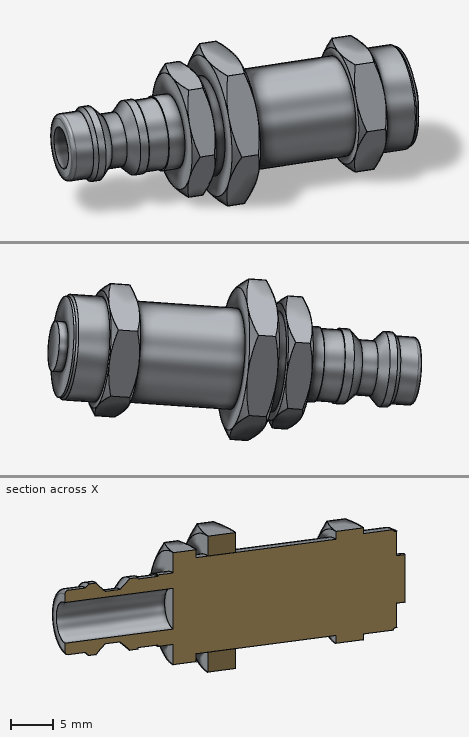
import cadquery as cq
import math

LENGTH = 44.0

TIP_RADIUS = 4.05
TIP_ROUND = 0.5
COLLAR_RADIUS = 4.5
NECK_RADIUS = 3.3
GROOVE_RADIUS = 4.3
TIP_END = 2.65
COLLAR_FRONT = 3.12
COLLAR_BACK = 4.05
NECK_FRONT = 5.25
NECK_BACK = 7.15
SHOULDER_FRONT = 8.4
GROOVE_FRONT = 9.5
GROOVE_BACK = 12.0

BORE_RADIUS = 2.5

HEX_ACROSS_FLATS = 14.0
FRONT_HEX_START = 14.0
FRONT_HEX_LENGTH = 3.05
REAR_HEX_START = 35.02
REAR_HEX_LENGTH = 3.6
HEX_CHAMFER_ANGLE = 30.0
HEX_SIDES = 6

BARREL_RADIUS = 6.05
CAP_RADIUS = 6.3
CAP_END_RADIUS = BARREL_RADIUS
CAP_CHAMFER_LENGTH = 0.25
CAP_LIP_LENGTH = 0.25
TAIL_RADIUS = 3.0
TAIL_LENGTH = 1.05

NUT_ACROSS_FLATS = 17.0
NUT_START = 18.5
NUT_LENGTH = 3.6


def revolve_about_y(profile):
    """Revolve a closed XY profile about the Y axis."""
    return profile.revolve(360, (0, 0, 0), (0, 1, 0))


def cylinder(radius, start, end):
    """Cylinder on the Y axis between two stations."""
    return cq.Workplane("XZ", origin=(0, start, 0)).circle(radius).extrude(start - end)


def chamfered_hexagon(across_flats, start, length):
    """Hexagon with corners on the X axis and both ends turned to a cone that meets the flats."""
    flat_radius = across_flats / 2
    corner_radius = flat_radius / math.cos(math.pi / HEX_SIDES)
    chamfer = (corner_radius - flat_radius) * math.tan(math.radians(HEX_CHAMFER_ANGLE))
    end = start + length
    prism = (
        cq.Workplane("XZ", origin=(0, start, 0))
        .polygon(HEX_SIDES, 2 * corner_radius)
        .extrude(-length)
    )
    envelope = revolve_about_y(
        cq.Workplane("XY")
        .moveTo(0, start)
        .lineTo(flat_radius, start)
        .lineTo(corner_radius, start + chamfer)
        .lineTo(corner_radius, end - chamfer)
        .lineTo(flat_radius, end)
        .lineTo(0, end)
        .close()
    )
    return prism.intersect(envelope)


def turned_core():
    """Plug, barrel, rear cap and tail tube as one revolved outline."""
    cap_end = LENGTH - TAIL_LENGTH
    lip_start = cap_end - CAP_LIP_LENGTH
    arc_step = TIP_ROUND * math.sin(math.radians(45))
    return revolve_about_y(
        cq.Workplane("XY")
        .moveTo(0, 0)
        .lineTo(TIP_RADIUS - TIP_ROUND, 0)
        .threePointArc(
            (TIP_RADIUS - TIP_ROUND + arc_step, TIP_ROUND - arc_step),
            (TIP_RADIUS, TIP_ROUND),
        )
        .lineTo(TIP_RADIUS, TIP_END)
        .lineTo(COLLAR_RADIUS, COLLAR_FRONT)
        .lineTo(COLLAR_RADIUS, COLLAR_BACK)
        .lineTo(NECK_RADIUS, NECK_FRONT)
        .lineTo(NECK_RADIUS, NECK_BACK)
        .lineTo(COLLAR_RADIUS, SHOULDER_FRONT)
        .lineTo(COLLAR_RADIUS, GROOVE_FRONT)
        .lineTo(GROOVE_RADIUS, GROOVE_FRONT)
        .lineTo(GROOVE_RADIUS, GROOVE_BACK)
        .lineTo(COLLAR_RADIUS, GROOVE_BACK)
        .lineTo(COLLAR_RADIUS, FRONT_HEX_START)
        .lineTo(BARREL_RADIUS, FRONT_HEX_START)
        .lineTo(BARREL_RADIUS, REAR_HEX_START)
        .lineTo(CAP_RADIUS, REAR_HEX_START)
        .lineTo(CAP_RADIUS, lip_start - CAP_CHAMFER_LENGTH)
        .lineTo(CAP_END_RADIUS, lip_start)
        .lineTo(CAP_END_RADIUS, cap_end)
        .lineTo(TAIL_RADIUS, cap_end)
        .lineTo(TAIL_RADIUS, LENGTH)
        .lineTo(0, LENGTH)
        .close()
    )


def make_housing():
    """Coupling plug with its two wrench hexagons and the blind bore."""
    front_hex = chamfered_hexagon(HEX_ACROSS_FLATS, FRONT_HEX_START, FRONT_HEX_LENGTH)
    rear_hex = chamfered_hexagon(HEX_ACROSS_FLATS, REAR_HEX_START, REAR_HEX_LENGTH)
    bore = cylinder(BORE_RADIUS, 0, FRONT_HEX_START)
    return turned_core().union(front_hex).union(rear_hex).cut(bore)


def make_lock_nut():
    """Hexagonal nut whose hole fits the barrel."""
    blank = chamfered_hexagon(NUT_ACROSS_FLATS, NUT_START, NUT_LENGTH)
    return blank.cut(cylinder(BARREL_RADIUS, NUT_START, NUT_START + NUT_LENGTH))


housing = make_housing()
lock_nut = make_lock_nut()

result = cq.Compound.makeCompound([housing.val(), lock_nut.val()])